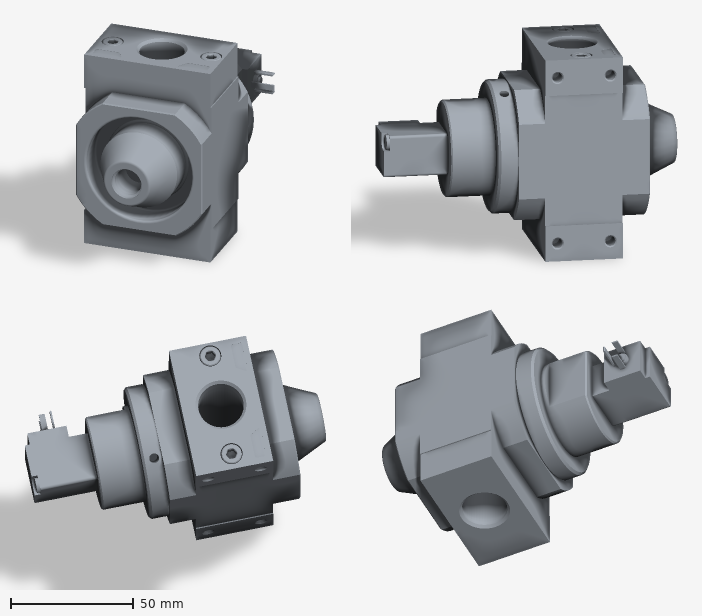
import cadquery as cq
import math


body_width = 55.0
body_front = -27.6
body_rear = 27.0
corner_radius = 31.7
body_chamfer = 0.5

pocket_radius = 23.0
pocket_depth = 11.0
pocket_mouth_round = 1.0
pocket_floor_round = 0.7
nose_base_radius = 16.7
nose_tip_radius = 9.9
nose_tip_y = -42.1
nose_root_round = 1.1
nose_tip_round = 1.1
nose_bore_diameter = 11.5
nose_mouth_diameter = 13.2
nose_mouth_depth = 1.0
nose_bore_depth = 14.6

flange_depth = 32.2
flange_thickness = 15.0
flange_shift = -0.5
port_diameter = 18.7
port_chamfer = 1.1
side_hole_diameter = 4.1
side_hole_chamfer = 0.5
side_hole_depth = 8.5
side_hole_y = 11.0
side_hole_z = 35.0
drill_point_angle = 118.0

label_outer_x = 24.9
label_short_x = 14.8
label_long_x = 12.1
label_top_y = -9.2
label_bottom_y = -13.8
label_round = 0.6
label_depth = 0.1
label_centre_x = -0.4

screw_x = 21.5
screw_head_diameter = 8.4
screw_head_height = 5.0
screw_head_chamfer = 0.4
screw_bore_diameter = 9.0
screw_shank_diameter = 5.0
screw_thread_depth = 9.8
socket_width = 4.0
socket_depth = 3.0
socket_chamfer = 0.4
socket_turn = 30.0

ring_radius = body_width / 2
ring_rear = 35.3
ring_front_chamfer = 0.6
ring_rear_chamfer = 1.0
pin_hole_diameter = 4.0
pin_hole_angle = 24.6
pin_hole_y = 30.3
pin_hole_depth = 8.5

cap_radius = 20.0
cap_rear = 53.7
cap_flat_x = 15.5
cap_rim_height = 1.8
cap_chamfer = 0.6

coil_left = -10.0
coil_right = 9.9
coil_height = 17.3
coil_rear = 79.9
coil_round = 1.1
connector_x = 14.8
connector_front = 61.5
connector_rear = 77.8

terminal_y = 70.2
boss_diameter = 5.4
boss_length = 1.7
boss_tip_diameter = 4.0
boss_tip_length = 0.9
blade_width = 2.5
blade_thickness = 0.7
blade_z = 4.0
blade_end_x = 23.0
blade_tip_chamfer = 0.2
ground_blade_y = 66.1
ground_blade_end_x = 24.8

notch_width = 6.2
notch_depth = 2.5
coil_screw_head_height = 1.3
coil_screw_shank_diameter = 2.5
coil_screw_shank_length = 7.3

body_top = body_width / 2
flange_top = body_top + flange_thickness
pocket_floor_y = body_front + pocket_depth
head_seat_z = flange_top - screw_head_height
shank_end_z = body_top - screw_thread_depth
coil_top = coil_height / 2
coil_screw_x = coil_left + notch_width / 2
coil_screw_z = coil_top - notch_width / 2
coil_screw_seat_y = coil_rear - notch_depth


def block(x_start, x_end, y_start, y_end, z_start, z_end):
    """Box between two corners."""
    size = (x_end - x_start, y_end - y_start, z_end - z_start)
    return cq.Workplane("XY").box(*size, centered=False).translate((x_start, y_start, z_start))


def y_cylinder(radius, y_start, y_end, x=0, z=0):
    """Cylinder along Y."""
    return cq.Workplane("XZ", origin=(x, y_start, z)).circle(radius).extrude(y_start - y_end)


def z_cylinder(radius, z_start, z_end, x=0, y=0):
    """Cylinder along Z."""
    return cq.Workplane("XY", origin=(x, y, z_start)).circle(radius).extrude(z_end - z_start)


def drill(diameter, depth, mouth_chamfer):
    """Drilled hole along +Z from the origin, with a conical bottom and a chamfered mouth."""
    radius = diameter / 2
    point_height = radius / math.tan(math.radians(drill_point_angle / 2))
    profile = (
        cq.Workplane("XZ")
        .lineTo(radius + mouth_chamfer, 0)
        .lineTo(radius, mouth_chamfer)
        .lineTo(radius, depth)
        .lineTo(0, depth + point_height)
        .close()
    )
    return profile.revolve(360, (0, 0, 0), (0, 1, 0))


def drill_down(diameter, depth, mouth_chamfer):
    """Drilled hole along -Z from the origin."""
    return drill(diameter, depth, mouth_chamfer).rotate((0, 0, 0), (1, 0, 0), 180)


def make_body():
    """Square block with rounded long edges outside the flange seats, and a nose in a front pocket."""
    half = body_width / 2
    square = block(-half, half, body_front, body_rear, -half, half)
    body = square.intersect(y_cylinder(corner_radius, body_front, body_rear))
    body = body.faces("<Y").chamfer(body_chamfer)
    body = body.union(block(-half, half, -flange_depth / 2, flange_depth / 2, -half, half))

    pocket = y_cylinder(pocket_radius, body_front, pocket_floor_y)
    body = body.cut(pocket.faces(">Y").edges().fillet(pocket_floor_round))
    smallest_circle = cq.selectors.RadiusNthSelector(0)
    body = body.faces("<Y").edges("%CIRCLE").edges(smallest_circle).fillet(pocket_mouth_round)
    body = body.union(make_nose()).cut(nose_bore())

    port = z_cylinder(port_diameter / 2, -body_top, body_top)
    body = body.cut(port)
    for side in (-1, 1):
        body = body.cut(z_cylinder(screw_shank_diameter / 2, shank_end_z, body_top, side * screw_x))
    return body


def make_nose():
    """Cone standing on a short cylinder, flared into the pocket floor at its root."""
    profile = (
        cq.Workplane("XY")
        .moveTo(0, pocket_floor_y)
        .lineTo(nose_base_radius + nose_root_round, pocket_floor_y)
        .radiusArc((nose_base_radius, pocket_floor_y - nose_root_round), nose_root_round)
        .lineTo(nose_base_radius, body_front)
        .lineTo(nose_tip_radius, nose_tip_y)
        .lineTo(0, nose_tip_y)
        .close()
    )
    nose = profile.revolve(360, (0, 0, 0), (0, 1, 0))
    return nose.faces("<Y").edges().fillet(nose_tip_round)


def nose_bore():
    """Blind bore in the nose tip, with a wider mouth that tapers into the bore at 45 degrees."""
    bore_radius = nose_bore_diameter / 2
    mouth_radius = nose_mouth_diameter / 2
    mouth_end_y = nose_tip_y + nose_mouth_depth
    bore_end_y = nose_tip_y + nose_bore_depth
    profile = (
        cq.Workplane("XY")
        .moveTo(0, nose_tip_y)
        .lineTo(mouth_radius, nose_tip_y)
        .lineTo(mouth_radius, mouth_end_y)
        .lineTo(bore_radius, mouth_end_y + mouth_radius - bore_radius)
        .lineTo(bore_radius, bore_end_y)
        .lineTo(0, bore_end_y)
        .close()
    )
    return profile.revolve(360, (0, 0, 0), (0, 1, 0))


def make_flange(side):
    """Port flange on the top (side = 1) or the bottom (side = -1) of the body."""
    half_width = body_width / 2
    left = flange_shift - half_width
    half_depth = flange_depth / 2
    flange = block(left, flange_shift + half_width, -half_depth, half_depth, body_top, flange_top)
    port = drill_down(port_diameter, 2 * flange_thickness, port_chamfer)
    flange = flange.cut(port.translate((0, 0, flange_top)))
    for y in (-side_hole_y, side_hole_y):
        hole = drill(side_hole_diameter, side_hole_depth, side_hole_chamfer)
        flange = flange.cut(hole.rotate((0, 0, 0), (0, 1, 0), 90).translate((left, y, side_hole_z)))
    return flange if side > 0 else flange.mirror("XY")


def cut_screw_bores(flange):
    """Counterbored screw holes in the top flange."""
    for x in (-screw_x, screw_x):
        flange = flange.cut(z_cylinder(screw_bore_diameter / 2, head_seat_z, flange_top, x))
        flange = flange.cut(z_cylinder(screw_shank_diameter / 2, body_top, head_seat_z, x))
    return flange


def cut_labels(flange):
    """Mirrored pair of shallow label recesses."""
    label = (
        cq.Workplane("XY", origin=(0, 0, flange_top - label_depth))
        .moveTo(label_outer_x, label_top_y)
        .lineTo(label_short_x, label_top_y)
        .lineTo(label_long_x, label_bottom_y)
        .lineTo(label_outer_x, label_bottom_y)
        .close()
        .extrude(label_depth)
        .edges("|Z")
        .fillet(label_round)
    )
    for recess in (label, label.mirror("YZ")):
        flange = flange.cut(recess.translate((label_centre_x, 0, 0)))
    return flange


def make_flange_screw(x):
    """Socket head screw, flush with the top of the flange."""
    head = z_cylinder(screw_head_diameter / 2, head_seat_z, flange_top, x)
    head = head.faces(">Z").chamfer(screw_head_chamfer)
    screw = head.union(z_cylinder(screw_shank_diameter / 2, shank_end_z, head_seat_z, x))
    socket_corner_width = socket_width / math.cos(math.pi / 6)
    socket = cq.Workplane("XY").polygon(6, socket_corner_width).extrude(-socket_depth)
    socket = socket.rotate((0, 0, 0), (0, 0, 1), socket_turn)
    socket = socket.union(drill_down(socket_width, socket_depth, socket_chamfer))
    return screw.cut(socket.translate((x, 0, flange_top)))


def make_ring():
    """Retaining ring behind the body, with a radial pin hole."""
    ring = y_cylinder(ring_radius, body_rear, ring_rear)
    ring = ring.faces("<Y").chamfer(ring_front_chamfer).faces(">Y").chamfer(ring_rear_chamfer)
    hole = z_cylinder(pin_hole_diameter / 2, ring_radius - pin_hole_depth, ring_radius + pin_hole_depth)
    hole = hole.rotate((0, 0, 0), (0, 1, 0), -pin_hole_angle).translate((0, pin_hole_y, 0))
    return ring.cut(hole)


def make_cap():
    """Round cap with a flat on its +X side that stops above a rim at its base."""
    cap = y_cylinder(cap_radius, ring_rear, cap_rear)
    rim_top_y = ring_rear + cap_rim_height
    cap = cap.cut(block(cap_flat_x, cap_radius, rim_top_y, cap_rear, -cap_radius, cap_radius))
    return cap.faces(">Y").chamfer(cap_chamfer)


def make_coil():
    """Coil block with a connector pad, a boss and three blades, and a notch for its screw."""
    coil = block(coil_left, coil_right, cap_rear, coil_rear, -coil_top, coil_top)
    coil = coil.edges("|Y and <X").fillet(coil_round)
    coil = coil.union(block(coil_right, connector_x, connector_front, connector_rear, -coil_top, coil_top))
    coil = coil.cut(coil_notch())
    shank_end_y = coil_screw_seat_y - coil_screw_shank_length
    shank_hole = y_cylinder(
        coil_screw_shank_diameter / 2, shank_end_y, coil_screw_seat_y, coil_screw_x, coil_screw_z
    )
    return coil.cut(shank_hole).union(make_terminals())


def coil_notch():
    """Corner notch with a round inner corner concentric with the screw."""
    notch = block(
        coil_left, coil_left + notch_width, coil_screw_seat_y, coil_rear, coil_top - notch_width, coil_top
    )
    return notch.edges("|Y and >X and <Z").fillet(notch_width / 2)


def make_terminals():
    """Stepped boss, two flat blades beside it and an upright ground blade."""
    pad = cq.Workplane("YZ", origin=(connector_x, terminal_y, 0))
    terminals = pad.circle(boss_diameter / 2).extrude(boss_length)
    terminals = terminals.union(pad.circle(boss_tip_diameter / 2).extrude(boss_length + boss_tip_length))
    blade_length = blade_end_x - connector_x
    for z in (-blade_z, blade_z):
        blade = pad.center(0, z).rect(blade_width, blade_thickness).extrude(blade_length)
        terminals = terminals.union(blade.faces(">X").edges("|Y").chamfer(blade_tip_chamfer))
    ground = (
        cq.Workplane("YZ", origin=(connector_x, ground_blade_y, 0))
        .rect(blade_thickness, blade_width)
        .extrude(ground_blade_end_x - connector_x)
    )
    return terminals.union(ground.faces(">X").edges("|Z").chamfer(blade_tip_chamfer))


def make_coil_screw():
    """Low-head screw that fills the round corner of the coil notch."""
    seat = coil_screw_seat_y
    head = y_cylinder(notch_width / 2, seat, seat + coil_screw_head_height, coil_screw_x, coil_screw_z)
    shank = y_cylinder(
        coil_screw_shank_diameter / 2, seat - coil_screw_shank_length, seat, coil_screw_x, coil_screw_z
    )
    return head.union(shank)


body = make_body()
top_flange = cut_labels(cut_screw_bores(make_flange(1)))
bottom_flange = make_flange(-1)
flange_screws = [make_flange_screw(x).val() for x in (-screw_x, screw_x)]
ring = make_ring()
cap = make_cap()
coil = make_coil()
coil_screw = make_coil_screw()

result = cq.Compound.makeCompound(
    [
        body.val(),
        top_flange.val(),
        bottom_flange.val(),
        *flange_screws,
        ring.val(),
        cap.val(),
        coil.val(),
        coil_screw.val(),
    ]
)